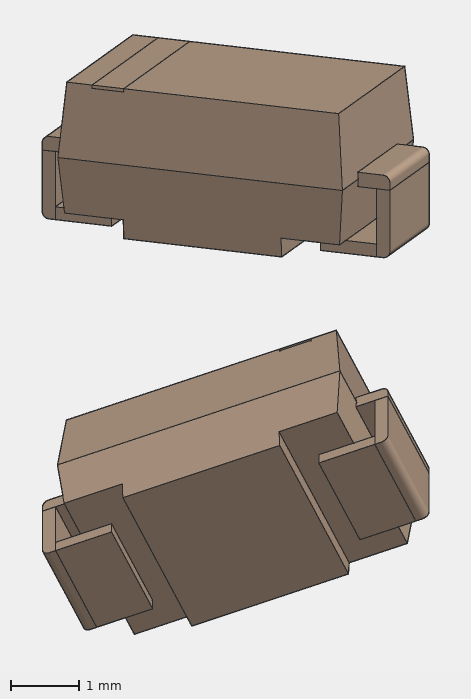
import cadquery as cq
import math

overall_length = 5.5
overall_height = 2.3

body_length = 4.5
body_width = 2.8
parting_height = 1.16
draft_angle = 5.0
standoff_height = 0.295
pedestal_length = 2.495

band_width = 0.5
band_depth = 0.05
band_end_x = -pedestal_length / 2
band_start_x = band_end_x - band_width

lead_width = 1.55
leg_thickness = 0.21
foot_thickness = 0.2
arm_top = 1.265
arm_bottom = 1.045
foot_reach = 1.1
bend_radius = 0.11

lead_outer_x = -overall_length / 2
leg_inner_x = lead_outer_x + leg_thickness
foot_tip_x = lead_outer_x + foot_reach


def span_box(x_start, x_end, width, z_bottom, z_top):
    """Box between two X and two Z positions, centred on Y."""
    return (
        cq.Workplane("XY", origin=((x_start + x_end) / 2, 0, z_bottom))
        .box(x_end - x_start, width, z_top - z_bottom, centered=(True, True, False))
    )


def drafted_half(height):
    """Half of the body, narrowing by the draft angle away from the parting plane.

    A negative height gives the half below the parting plane.
    """
    inset = abs(height) * math.tan(math.radians(draft_angle))
    return (
        cq.Workplane("XY", origin=(0, 0, parting_height))
        .rect(body_length, body_width)
        .workplane(offset=height)
        .rect(body_length - 2 * inset, body_width - 2 * inset)
        .loft(ruled=True)
    )


upper_blank = drafted_half(overall_height - parting_height)
band_space = span_box(band_start_x, band_end_x, body_width, overall_height - band_depth, overall_height)


def make_upper_body():
    """Upper half with the shallow slot that holds the band."""
    return upper_blank.cut(band_space)


def make_lower_body():
    """Lower half, cut back at both ends to leave a central pedestal."""
    lower = drafted_half(-parting_height)
    half_length = body_length / 2
    half_pedestal = pedestal_length / 2
    for x_start, x_end in ((-half_length, -half_pedestal), (half_pedestal, half_length)):
        lower = lower.cut(span_box(x_start, x_end, body_width, 0, standoff_height))
    return lower


def make_polarity_band():
    """Strip across the top whose ends follow the drafted side walls."""
    return upper_blank.intersect(band_space)


def make_arm(upper, lower):
    """Horizontal arm on the -X side, ending against the drafted body walls."""
    arm = span_box(lead_outer_x, -pedestal_length / 2, lead_width, arm_bottom, arm_top)
    arm = arm.edges("<X and >Z").fillet(bend_radius)
    return arm.cut(upper).cut(lower)


def make_leg():
    """Vertical leg below the arm on the -X side."""
    leg = span_box(lead_outer_x, leg_inner_x, lead_width, 0, arm_bottom)
    return leg.edges("<X and <Z").fillet(bend_radius)


def make_foot():
    """Solder foot running inward from the leg on the -X side."""
    return span_box(leg_inner_x, foot_tip_x, lead_width, 0, foot_thickness)


upper_body = make_upper_body()
lower_body = make_lower_body()
polarity_band = make_polarity_band()

arms = []
legs = []
feet = []
for turn in (0, 180):
    arms.append(make_arm(upper_body, lower_body).rotate((0, 0, 0), (0, 0, 1), turn))
    legs.append(make_leg().rotate((0, 0, 0), (0, 0, 1), turn))
    feet.append(make_foot().rotate((0, 0, 0), (0, 0, 1), turn))

bodies = [upper_body, lower_body, polarity_band, *arms, *legs, *feet]
result = cq.Compound.makeCompound([body.solids().val() for body in bodies])